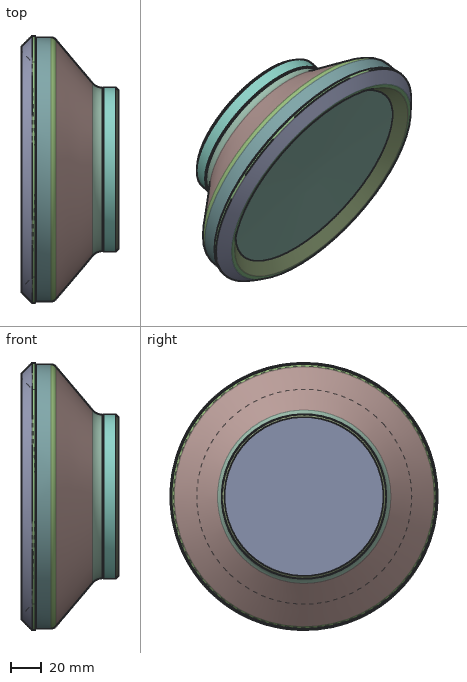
import cadquery as cq
import math

overall_length = 63.0
ring_thickness = 9.0
floor_start = 6.6
relief_end = 9.5
rim_start = 53.3
relief_width = 0.9

ring_radius = 173.8 / 2
face_outer_radius = 80.0
face_inner_radius = 77.2
ring_bore_radius = 69.9
shoulder_radius = 172 / 2
front_relief_radius = 170.0 / 2
rear_relief_radius = 106.0 / 2
neck_radius = 106.5 / 2
rim_radius = 107.0 / 2

ring_edge_fillet = 0.3
rim_chamfer = 1.9
shoulder_fillet = 4.5
neck_fillet = 8.7
dish_depth = 2.5

flank_start = 21.0
flank_end = 48.7


def revolve_about_x(profile):
    """Turn a closed (axial, radial) profile into a solid of revolution about X."""
    return profile.close().revolve(360, (0, 0, 0), (1, 0, 0))


def make_trim_ring():
    """Ring with a 45 degree outer bevel, a conical mouth and lightly rounded edges."""
    bevel = ring_radius - face_outer_radius
    profile = (
        cq.Workplane("XY")
        .moveTo(0, face_inner_radius)
        .lineTo(0, face_outer_radius)
        .lineTo(bevel, ring_radius)
        .lineTo(ring_thickness, ring_radius)
        .lineTo(ring_thickness, ring_bore_radius)
        .lineTo(floor_start, ring_bore_radius)
    )
    ring = revolve_about_x(profile)
    face_edges = ring.faces("<X").edges()
    outer_edges = ring.edges(cq.selectors.RadiusNthSelector(-1))
    return ring.newObject(face_edges.vals() + outer_edges.vals()).fillet(ring_edge_fillet)


def make_housing():
    """Tapered body with rounded flank, relief grooves, rear rim and dished front.

    The floor stands ahead of the mounting plane and fills the bore of the trim ring.
    """
    flank_angle = math.atan2(shoulder_radius - neck_radius, flank_end - flank_start)
    shoulder_setback = shoulder_fillet * math.tan(flank_angle / 2)
    neck_setback = neck_fillet * math.tan(flank_angle / 2)
    along_x = math.cos(flank_angle)
    along_r = math.sin(flank_angle)
    half_x = math.sin(flank_angle / 2)
    half_r = math.cos(flank_angle / 2)

    shoulder_center = (flank_start - shoulder_setback, shoulder_radius - shoulder_fillet)
    neck_center = (flank_end + neck_setback, neck_radius + neck_fillet)
    shoulder_middle = (
        shoulder_center[0] + shoulder_fillet * half_x,
        shoulder_center[1] + shoulder_fillet * half_r,
    )
    shoulder_tangent = (
        flank_start + shoulder_setback * along_x,
        shoulder_radius - shoulder_setback * along_r,
    )
    neck_tangent = (
        flank_end - neck_setback * along_x,
        neck_radius + neck_setback * along_r,
    )
    neck_middle = (
        neck_center[0] - neck_fillet * half_x,
        neck_center[1] - neck_fillet * half_r,
    )

    profile = (
        cq.Workplane("XY")
        .moveTo(floor_start + dish_depth, 0)
        .lineTo(floor_start, ring_bore_radius)
        .lineTo(ring_thickness, ring_bore_radius)
        .lineTo(ring_thickness, front_relief_radius)
        .lineTo(relief_end, front_relief_radius)
        .lineTo(relief_end, shoulder_radius)
        .lineTo(shoulder_center[0], shoulder_radius)
        .threePointArc(shoulder_middle, shoulder_tangent)
        .lineTo(*neck_tangent)
        .threePointArc(neck_middle, (neck_center[0], neck_radius))
        .lineTo(rim_start - relief_width, neck_radius)
        .lineTo(rim_start - relief_width, rear_relief_radius)
        .lineTo(rim_start, rear_relief_radius)
        .lineTo(rim_start, rim_radius)
        .lineTo(overall_length - rim_chamfer, rim_radius)
        .lineTo(overall_length, rim_radius - rim_chamfer)
        .lineTo(overall_length, 0)
    )
    return revolve_about_x(profile)


trim_ring = make_trim_ring()
housing = make_housing()

result = cq.Compound.makeCompound([trim_ring.val(), housing.val()])